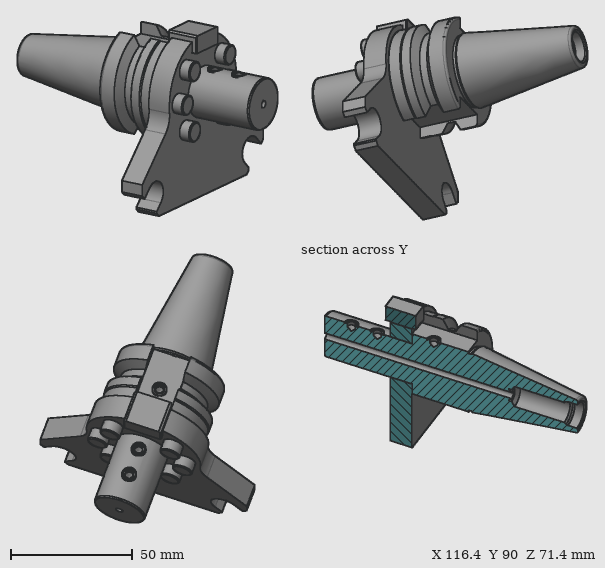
import cadquery as cq
import math

LENGTH = 116.4

TAPER_LENGTH = 48.4
TAPER_SMALL_DIAMETER = 17.9
TAPER_LARGE_DIAMETER = 31.8
TAPER_END_FILLET = 1.0
NECK_DIAMETER = 30.7
NECK_CHAMFER = 0.7
FLANGE_START = 50.3
FLANGE_DIAMETER = 46.0
FLANGE_FILLET = 1.0
V_GROOVE_DIAMETER = 38.0
V_GROOVE_OUTER_START = 57.9
V_GROOVE_FLOOR_START = 60.4
V_GROOVE_FLOOR_END = 63.7
V_GROOVE_OUTER_END = 66.1
FLANGE_END = 70.2
FLANGE_END_CHAMFER = 0.7
SHOULDER_DIAMETER = 45.5
SHOULDER_CHAMFER = 0.3
NOSE_DIAMETER = 22.0
NOSE_CHAMFER = 0.7
NOSE_CHAMFER_DEPTH = 0.3

SLOT_WIDTH = 16.3
SLOT_FLOOR_HEIGHT = 16.2

BORE_MOUTH_DIAMETER = 14.0
BORE_MOUTH_CHAMFER = 0.5
PILOT_DIAMETER = 12.5
PILOT_DEPTH = 4.5
THREAD_DIAMETER = 12.0
THREAD_ENTRY_LENGTH = 0.9
THREAD_CHAMFER = 0.8
CORE_DIAMETER = 10.5
CORE_DEPTH = 29.1
CORE_CONE_LENGTH = 1.4
COOLANT_TIP_DIAMETER = 3.5
COOLANT_HOLE_DIAMETER = 3.0

SET_SCREW_DIAMETER = 6.0
SLOT_SCREW_X = 66.3
SLOT_SCREW_TIP_DIAMETER = 4.3
NOSE_SCREW_X = (92.3, 104.2)
NOSE_SCREW_TIP_DIAMETER = 5.0
SET_SCREW_SINK = 0.2
SOCKET_DIAMETER = 3.5
SOCKET_DEPTH = 1.7

PLATE_START = 76.2
PLATE_THICKNESS = 10.1
PLATE_END = PLATE_START + PLATE_THICKNESS
PLATE_RADIUS = 24.9
PLATE_FILLET = 10.0
PLATE_BOTTOM = -45.0
WING_SPAN = 90.0
WING_HALF_WIDTH = WING_SPAN / 2
WING_TOP = -28.0
WING_SIDE_HEIGHT = 4.9
FOOT_HALF_WIDTH = 34.2
FOOT_CHAMFER = 1.6
NOTCH_DIAMETER = 12.0
NOTCH_Y = 35.4
NOTCH_Z = -35.3

BLOCK_START = 74.5
BLOCK_LENGTH = 14.0
BLOCK_WIDTH = SLOT_WIDTH
BLOCK_OFFSET = 0.2
BLOCK_BOTTOM = 18.9
BLOCK_TOP = 26.4
BLOCK_TOP_CHAMFER_WIDTH = 1.0
BLOCK_TOP_CHAMFER_HEIGHT = 0.7
BLOCK_CORNER_CHAMFER = 0.5

SCREW_PITCH_ANGLE = 45.0
SCREW_CIRCLE_RADIUS = 18.5
HEAD_DIAMETER = 8.5
HEAD_HEIGHT = 5.0
HEAD_CHAMFER = 0.5


def revolve_about_x(profile):
    """Solid of revolution about the X axis from a closed (x, radius) sketch."""
    return profile.close().revolve(360, (0, 0, 0), (1, 0, 0))


def box_between(x_range, y_range, z_range):
    """Box spanning the given ranges along X, Y and Z."""
    size = [high - low for low, high in (x_range, y_range, z_range)]
    corner = (x_range[0], y_range[0], z_range[0])
    return cq.Workplane("XY").box(*size, centered=False).translate(corner)


def holder_blank():
    """Turned outside of the holder."""
    profile = (
        cq.Workplane("XY")
        .moveTo(0, 0)
        .lineTo(0, TAPER_SMALL_DIAMETER / 2 - TAPER_END_FILLET)
        .radiusArc((TAPER_END_FILLET, TAPER_SMALL_DIAMETER / 2), TAPER_END_FILLET)
        .lineTo(TAPER_LENGTH, TAPER_LARGE_DIAMETER / 2)
        .lineTo(TAPER_LENGTH + NECK_CHAMFER, NECK_DIAMETER / 2)
        .lineTo(FLANGE_START, NECK_DIAMETER / 2)
        .lineTo(FLANGE_START, FLANGE_DIAMETER / 2 - FLANGE_FILLET)
        .radiusArc((FLANGE_START + FLANGE_FILLET, FLANGE_DIAMETER / 2), FLANGE_FILLET)
        .lineTo(V_GROOVE_OUTER_START, FLANGE_DIAMETER / 2)
        .lineTo(V_GROOVE_FLOOR_START, V_GROOVE_DIAMETER / 2)
        .lineTo(V_GROOVE_FLOOR_END, V_GROOVE_DIAMETER / 2)
        .lineTo(V_GROOVE_OUTER_END, FLANGE_DIAMETER / 2)
        .lineTo(FLANGE_END, FLANGE_DIAMETER / 2)
        .lineTo(FLANGE_END + FLANGE_END_CHAMFER, SHOULDER_DIAMETER / 2)
        .lineTo(PLATE_START - SHOULDER_CHAMFER, SHOULDER_DIAMETER / 2)
        .lineTo(PLATE_START, SHOULDER_DIAMETER / 2 - SHOULDER_CHAMFER)
        .lineTo(PLATE_START, NOSE_DIAMETER / 2)
        .lineTo(LENGTH - NOSE_CHAMFER, NOSE_DIAMETER / 2)
        .lineTo(LENGTH, NOSE_DIAMETER / 2 - NOSE_CHAMFER_DEPTH)
        .lineTo(LENGTH, 0)
    )
    return revolve_about_x(profile)


def holder_bore():
    """Stepped bore that ends at a chamfered tip, with a coolant hole through to the nose."""
    thread_start = PILOT_DEPTH + THREAD_ENTRY_LENGTH
    cone_end = CORE_DEPTH + CORE_CONE_LENGTH
    tip_height = (SET_SCREW_DIAMETER - COOLANT_TIP_DIAMETER) / 2
    profile = (
        cq.Workplane("XY")
        .moveTo(0, 0)
        .lineTo(0, BORE_MOUTH_DIAMETER / 2)
        .lineTo(BORE_MOUTH_CHAMFER, PILOT_DIAMETER / 2)
        .lineTo(PILOT_DEPTH, PILOT_DIAMETER / 2)
        .lineTo(PILOT_DEPTH, THREAD_DIAMETER / 2)
        .lineTo(thread_start, THREAD_DIAMETER / 2)
        .lineTo(thread_start + THREAD_CHAMFER, CORE_DIAMETER / 2)
        .lineTo(CORE_DEPTH, CORE_DIAMETER / 2)
        .lineTo(cone_end, SET_SCREW_DIAMETER / 2)
        .lineTo(cone_end + tip_height, SET_SCREW_DIAMETER / 2)
        .lineTo(cone_end, COOLANT_TIP_DIAMETER / 2)
        .lineTo(cone_end, COOLANT_HOLE_DIAMETER / 2)
        .lineTo(LENGTH, COOLANT_HOLE_DIAMETER / 2)
        .lineTo(LENGTH, 0)
    )
    return revolve_about_x(profile)


def drive_slot(side):
    """Slot through flange and shoulder, on the top (side = 1) or bottom (side = -1)."""
    floor = side * SLOT_FLOOR_HEIGHT
    outside = side * FLANGE_DIAMETER / 2
    z_range = (min(floor, outside), max(floor, outside))
    return box_between((FLANGE_START, PLATE_START), (-SLOT_WIDTH / 2, SLOT_WIDTH / 2), z_range)


def set_screw_cut(x, top, tip_z, tip_diameter):
    """Chamfer ring and cone-bottomed socket of a set screw whose flat end is at tip_z."""
    hole_radius = SET_SCREW_DIAMETER / 2
    tip_radius = tip_diameter / 2
    chamfer_bottom = tip_z - (hole_radius - tip_radius)
    ring = (
        cq.Workplane("XZ")
        .moveTo(0, top)
        .lineTo(hole_radius, top)
        .lineTo(hole_radius, chamfer_bottom)
        .lineTo(tip_radius, tip_z)
        .lineTo(0, tip_z)
        .close()
        .revolve(360, (0, 0, 0), (0, 1, 0))
    )
    socket_radius = SOCKET_DIAMETER / 2
    cone_base = tip_z - SOCKET_DEPTH
    socket = (
        cq.Workplane("XZ")
        .moveTo(0, tip_z)
        .lineTo(socket_radius, tip_z)
        .lineTo(socket_radius, cone_base)
        .lineTo(0, cone_base - socket_radius)
        .close()
        .revolve(360, (0, 0, 0), (0, 1, 0))
    )
    return ring.union(socket).translate((x, 0, 0))


def make_holder():
    """Holder with its bore, drive slots, set screws and a shallow recess that fits the key block."""
    body = holder_blank().cut(holder_bore())
    for side in (1, -1):
        body = body.cut(drive_slot(side))
    body = body.cut(
        set_screw_cut(SLOT_SCREW_X, SLOT_FLOOR_HEIGHT, SLOT_FLOOR_HEIGHT, SLOT_SCREW_TIP_DIAMETER)
    )
    nose_radius = NOSE_DIAMETER / 2
    for x in NOSE_SCREW_X:
        body = body.cut(
            set_screw_cut(x, nose_radius, nose_radius - SET_SCREW_SINK, NOSE_SCREW_TIP_DIAMETER)
        )
    return body.cut(make_block())


def plate_half():
    """The Y >= 0 half of the plate: round head, concave fillet and notched 45 degree wing."""
    half_root = math.sqrt(0.5)

    center_sum = WING_HALF_WIDTH + WING_TOP + PLATE_FILLET * math.sqrt(2)
    center_distance = PLATE_RADIUS + PLATE_FILLET
    center_z = (center_sum - math.sqrt(2 * center_distance**2 - center_sum**2)) / 2
    center_y = center_sum - center_z
    head_ratio = PLATE_RADIUS / center_distance
    head_tangent = (center_y * head_ratio, center_z * head_ratio)
    slope_offset = PLATE_FILLET * half_root
    slope_tangent = (center_y - slope_offset, center_z - slope_offset)

    offset = NOTCH_DIAMETER / 2 * half_root
    upper_tangent = (NOTCH_Y + offset, NOTCH_Z + offset)
    round_end = (NOTCH_Y - offset, NOTCH_Z + offset)
    lower_tangent = (NOTCH_Y - offset, NOTCH_Z - offset)

    side_bottom = WING_TOP - WING_SIDE_HEIGHT
    wall_sum = sum(upper_tangent)
    tip_difference = WING_HALF_WIDTH - side_bottom
    tip = ((wall_sum + tip_difference) / 2, (wall_sum - tip_difference) / 2)

    foot_top = (FOOT_HALF_WIDTH, sum(lower_tangent) - FOOT_HALF_WIDTH)

    return (
        cq.Workplane("YZ", origin=(PLATE_START, 0, 0))
        .moveTo(0, PLATE_BOTTOM)
        .lineTo(0, PLATE_RADIUS)
        .threePointArc((PLATE_RADIUS * half_root, PLATE_RADIUS * half_root), head_tangent)
        .threePointArc(fillet_middle((center_y, center_z), head_tangent, slope_tangent), slope_tangent)
        .lineTo(WING_HALF_WIDTH, WING_TOP)
        .lineTo(WING_HALF_WIDTH, side_bottom)
        .lineTo(*tip)
        .lineTo(*upper_tangent)
        .threePointArc(round_end, lower_tangent)
        .lineTo(*foot_top)
        .lineTo(FOOT_HALF_WIDTH, PLATE_BOTTOM + FOOT_CHAMFER)
        .lineTo(FOOT_HALF_WIDTH - FOOT_CHAMFER, PLATE_BOTTOM)
        .close()
        .extrude(PLATE_THICKNESS)
    )


def fillet_middle(center, start, end):
    """Middle point of the short arc around center from start to end."""
    toward_y = start[0] + end[0] - 2 * center[0]
    toward_z = start[1] + end[1] - 2 * center[1]
    scale = math.dist(center, start) / math.hypot(toward_y, toward_z)
    return (center[0] + toward_y * scale, center[1] + toward_z * scale)


def make_plate():
    """Stop plate with a bore for the holder's nose and a recess that fits the key block."""
    half = plate_half()
    bore = (
        cq.Workplane("YZ", origin=(PLATE_START, 0, 0))
        .circle(NOSE_DIAMETER / 2)
        .extrude(PLATE_THICKNESS)
    )
    return half.union(half.mirror("XZ")).cut(bore).cut(make_block())


def make_block():
    """Block that straddles the plate and overhangs both of its faces."""
    half_width = BLOCK_WIDTH / 2
    block = box_between(
        (BLOCK_START, BLOCK_START + BLOCK_LENGTH),
        (BLOCK_OFFSET - half_width, BLOCK_OFFSET + half_width),
        (BLOCK_BOTTOM, BLOCK_TOP),
    )
    block = block.edges("|Z").chamfer(BLOCK_CORNER_CHAMFER)
    outline = (
        cq.Workplane("YZ", origin=(BLOCK_START, BLOCK_OFFSET, 0))
        .moveTo(-half_width, BLOCK_BOTTOM)
        .lineTo(-half_width, BLOCK_TOP - BLOCK_TOP_CHAMFER_HEIGHT)
        .lineTo(-half_width + BLOCK_TOP_CHAMFER_WIDTH, BLOCK_TOP)
        .lineTo(half_width - BLOCK_TOP_CHAMFER_WIDTH, BLOCK_TOP)
        .lineTo(half_width, BLOCK_TOP - BLOCK_TOP_CHAMFER_HEIGHT)
        .lineTo(half_width, BLOCK_BOTTOM)
        .close()
        .extrude(BLOCK_LENGTH)
    )
    return block.intersect(outline)


def make_cap_screw(angle):
    """Head of one cap screw on the far face of the plate, at an angle from +Y toward +Z."""
    y = SCREW_CIRCLE_RADIUS * math.cos(math.radians(angle))
    z = SCREW_CIRCLE_RADIUS * math.sin(math.radians(angle))
    return (
        cq.Workplane("YZ", origin=(PLATE_END, y, z))
        .circle(HEAD_DIAMETER / 2)
        .extrude(HEAD_HEIGHT)
        .faces(">X")
        .edges()
        .chamfer(HEAD_CHAMFER)
    )


def make_cap_screws():
    """Three screws on each side of the axis, one of them level with it."""
    screws = []
    for side_angle in (0.0, 180.0):
        for step in (-1, 0, 1):
            screws.append(make_cap_screw(side_angle + step * SCREW_PITCH_ANGLE))
    return screws


holder = make_holder()
plate = make_plate()
block = make_block()
cap_screws = make_cap_screws()

result = cq.Compound.makeCompound(
    [holder.val(), plate.val(), block.val(), *[screw.val() for screw in cap_screws]]
)